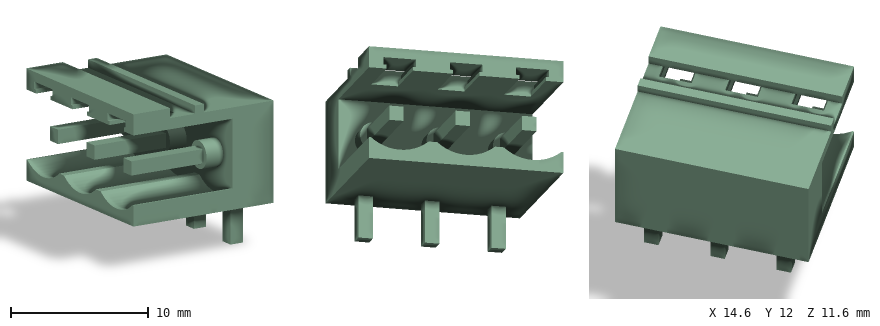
import cadquery as cq


width = 14.6
depth = 12.0
roof_top = 7.71
cavity_depth = 8.47
cavity_floor = 1.59
cavity_ceiling = 6.86

lip_top = 8.45
lip_length = 3.12
rib_top = 8.34
rib_thickness = 0.75
rib_back_offset = 5.97

pitch = 5.0
pole_places = [-pitch, 0.0, pitch]

slot_width = 2.47
slot_mouth_width = 1.99
slot_ledge_top = 7.15
slot_length = 4.16

scoop_chord = 4.34
scoop_depth = 0.79

boss_diameter = 2.13
boss_length = 1.43

pin_size = 1.08
leg_thickness = 1.05
pin_height = 3.83
pin_tip = 0.92
leg_back_offset = 1.53
leg_drop = 3.18

leg_back = depth - leg_back_offset
leg_front = leg_back - leg_thickness
pin_bottom = pin_height - pin_size / 2
pin_top = pin_height + pin_size / 2


def block(x_size, y_start, y_end, z_start, z_end, x_center=0.0):
    """Box centred on x_center and spanning the given Y and Z ranges."""
    box = cq.Workplane("XY").box(x_size, y_end - y_start, z_end - z_start, centered=(True, False, False))
    return box.translate((x_center, y_start, z_start))


def make_shell():
    """C-shaped housing with its front lip and roof rib."""
    rib_back = depth - rib_back_offset
    shell = block(width, 0, depth, 0, roof_top)
    shell = shell.union(block(width, 0, lip_length, cavity_ceiling, lip_top))
    shell = shell.union(block(width, rib_back - rib_thickness, rib_back, cavity_ceiling, rib_top))
    return shell.cut(block(width, 0, cavity_depth, cavity_floor, cavity_ceiling))


def make_slot(x):
    """T-shaped coding slot, with its narrow mouth open to the cavity."""
    head = block(slot_width, 0, slot_length, slot_ledge_top, roof_top, x)
    mouth = block(slot_mouth_width, 0, slot_length, cavity_ceiling, slot_ledge_top, x)
    return head.union(mouth)


def make_scoop(x):
    """Circular-segment trough along the cavity floor."""
    half_chord = scoop_chord / 2
    return (
        cq.Workplane("XZ")
        .moveTo(x - half_chord, cavity_floor)
        .threePointArc((x, cavity_floor - scoop_depth), (x + half_chord, cavity_floor))
        .close()
        .extrude(-cavity_depth)
    )


def make_boss(x):
    """Round boss standing forward from the back of the cavity."""
    plane = cq.Workplane("XZ", origin=(x, cavity_depth, pin_height))
    return plane.circle(boss_diameter / 2).extrude(boss_length)


def make_pin(x):
    """L-shaped pin: a contact arm along Y and a solder leg going down."""
    arm = block(pin_size, pin_tip, leg_back, pin_bottom, pin_top, x)
    leg = block(pin_size, leg_front, leg_back, -leg_drop, pin_top, x)
    return arm.union(leg)


def make_housing(pins):
    """Housing with its slots, scoops and bosses, and a matching hole for each pin."""
    housing = make_shell()
    for x in pole_places:
        housing = housing.cut(make_slot(x)).cut(make_scoop(x)).union(make_boss(x))
    for pin in pins:
        housing = housing.cut(pin)
    return housing


pins = [make_pin(x) for x in pole_places]
housing = make_housing(pins)

result = cq.Compound.makeCompound([housing.val(), *[pin.val() for pin in pins]])